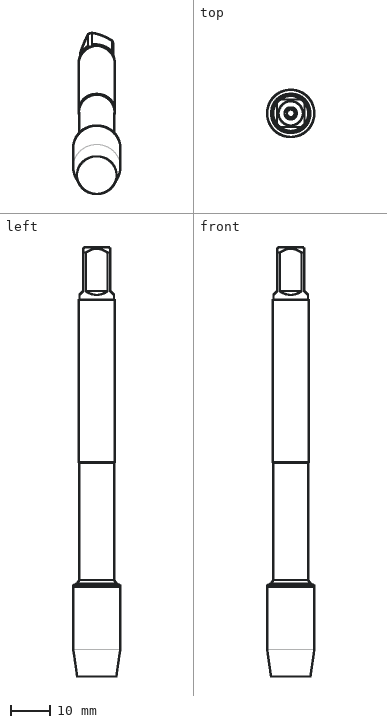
import cadquery as cq
import math

total_length = 110.0
lead_length = 6.92
thread_length = 23.0
shoulder_start = 23.3
shoulder_end = 23.87
neck_start = 24.7
neck_end = 54.65
shank_start = 55.02
shank_end = 96.54
shank_chamfer_length = 0.13

thread_diameter = 12.16
tip_diameter = 10.15
shoulder_diameter = 10.1
neck_diameter = 9.02
shank_diameter = 9.32
drive_diameter = 8.95

square_width = 7.0
square_length = 11.25
end_face_diameter = 6.2
end_chamfer = (drive_diameter - end_face_diameter) / 2

centre_diameter = 2.0
centre_mouth_diameter = 3.12
centre_depth = 3.0
countersink_angle = 60.0
drill_point_angle = 120.0


def cone_height(radius, included_angle):
    """Height of a cone with the given base radius and included point angle."""
    return radius / math.tan(math.radians(included_angle / 2))


def revolved(profile):
    """Solid of revolution about Z from (diameter, height) pairs, listed from bottom to top."""
    outline = [(diameter / 2, height) for diameter, height in profile]
    top_centre = (0, outline[-1][1])
    return cq.Workplane("XZ").polyline(outline + [top_centre]).close().revolve(360, (0, 0, 0), (0, 1, 0))


def make_thread():
    """Thread envelope: a plain cylinder with a tapered lead at the tip."""
    return revolved([
        (0, 0),
        (tip_diameter, 0),
        (thread_diameter, lead_length),
        (thread_diameter, thread_length),
    ])


def make_flat_cutter():
    """Material outside the drive flat on the +X side, with a 45 degree run-out slope below it."""
    flat_x = square_width / 2
    flat_bottom = total_length - square_length
    outer_x = drive_diameter / 2
    runout = outer_x - flat_x
    outline = [
        (flat_x, flat_bottom),
        (flat_x, total_length),
        (outer_x, total_length),
        (outer_x, flat_bottom - runout),
    ]
    return cq.Workplane("XZ").polyline(outline).close().extrude(drive_diameter, both=True)


def make_centre_hole():
    """Drilled centre hole with a countersunk mouth."""
    mouth_depth = cone_height((centre_mouth_diameter - centre_diameter) / 2, countersink_angle)
    point_depth = cone_height(centre_diameter / 2, drill_point_angle)
    return revolved([
        (0, total_length - centre_depth - point_depth),
        (centre_diameter, total_length - centre_depth),
        (centre_diameter, total_length - mouth_depth),
        (centre_mouth_diameter, total_length),
    ])


def make_shank():
    """Shoulder, neck, shank and square drive end above the thread."""
    shank = revolved([
        (0, thread_length),
        (thread_diameter, thread_length),
        (thread_diameter, shoulder_start),
        (shoulder_diameter, shoulder_end),
        (neck_diameter, neck_start),
        (neck_diameter, neck_end),
        (shank_diameter, shank_start),
        (shank_diameter, shank_end - shank_chamfer_length),
        (drive_diameter, shank_end),
        (drive_diameter, total_length - end_chamfer),
        (end_face_diameter, total_length),
    ])
    flat_cutter = make_flat_cutter()
    for side in range(4):
        shank = shank.cut(flat_cutter.rotate((0, 0, 0), (0, 0, 1), 90 * side))
    return shank.cut(make_centre_hole())


thread = make_thread()
shank = make_shank()

result = cq.Compound.makeCompound([thread.val(), shank.val()])